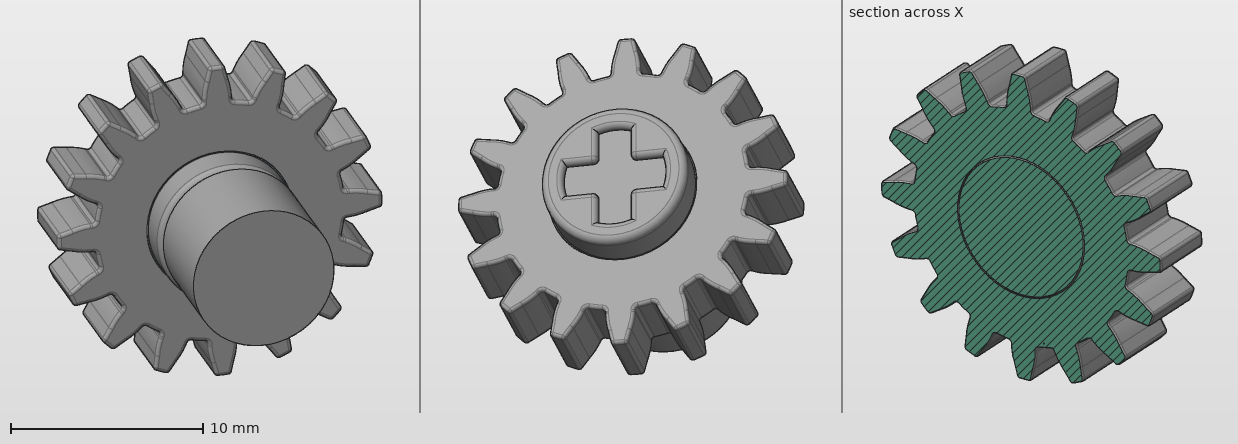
import cadquery as cq
import math

TOTAL_LENGTH = 13.64

TEETH = 16
TIP_RADIUS = 8.8
ROOT_RADIUS = 6.78
TIP_HALF_WIDTH = 0.42
FOOT_HALF_WIDTH = 0.8

TIP_CORNER = (TIP_RADIUS, TIP_HALF_WIDTH)
FLANK_TOP = (8.05, 0.62)
FLANK_MIDDLE = (7.55, 0.74)
FLANK_END = (7.05, FOOT_HALF_WIDTH)
ROOT_CORNER = (ROOT_RADIUS, FOOT_HALF_WIDTH)
TIP_MIDDLE = (TIP_RADIUS, 0)

GEAR_START = 2.0
GEAR_WIDTH = 4.0
GEAR_TURN = 1.2
GEAR_FILLET = 0.2

HUB_DIAMETER = 7.8
HUB_LENGTH = 8.0
HUB_END_FILLET = 0.4
HUB_GROOVE_DIAMETER = 7.95
HUB_GROOVE_DEPTH = 0.15
HUB_FLARE_LENGTH = 0.1

SHAFT_DIAMETER = 7.62
SHAFT_OFFSET_Y = 0.14
SHAFT_OFFSET_Z = -0.04

CROSS_DIAMETER = 5.45
CROSS_ARM_WIDTH = 1.75
CROSS_DEPTH = 0.4
CROSS_FILLET = 0.32


def cylinder_along_x(diameter, start, end, y=0.0, z=0.0):
    return cq.Workplane("YZ", origin=(start, y, z)).circle(diameter / 2).extrude(end - start)


def tooth_point(place, side, angle):
    """Point for a place on the +1 or -1 side of the tooth that stands at the given angle."""
    radius, half_width = place
    along = math.sqrt(radius**2 - half_width**2)
    across = side * half_width
    return (
        along * math.cos(angle) - across * math.sin(angle),
        along * math.sin(angle) + across * math.cos(angle),
    )


def gear_outline():
    """Closed outline of convex teeth joined by arcs of the root circle."""
    pitch = 2 * math.pi / TEETH
    first_angle = math.pi / 2 + math.radians(GEAR_TURN)
    outline = cq.Workplane("YZ", origin=(GEAR_START, 0, 0))
    outline = outline.moveTo(*tooth_point(ROOT_CORNER, -1, first_angle))
    for tooth in range(TEETH):
        angle = first_angle + tooth * pitch
        gap_angle = angle + pitch / 2
        gap_middle = (ROOT_RADIUS * math.cos(gap_angle), ROOT_RADIUS * math.sin(gap_angle))
        outline = (
            outline.lineTo(*tooth_point(FLANK_END, -1, angle))
            .threePointArc(tooth_point(FLANK_MIDDLE, -1, angle), tooth_point(FLANK_TOP, -1, angle))
            .lineTo(*tooth_point(TIP_CORNER, -1, angle))
            .threePointArc(tooth_point(TIP_MIDDLE, 1, angle), tooth_point(TIP_CORNER, 1, angle))
            .lineTo(*tooth_point(FLANK_TOP, 1, angle))
            .threePointArc(tooth_point(FLANK_MIDDLE, 1, angle), tooth_point(FLANK_END, 1, angle))
            .lineTo(*tooth_point(ROOT_CORNER, 1, angle))
            .threePointArc(gap_middle, tooth_point(ROOT_CORNER, -1, angle + pitch))
        )
    return outline.close()


def distance_from_axis(edge):
    center = edge.Center()
    return math.hypot(center.y, center.z)


def is_root_edge(edge):
    return distance_from_axis(edge) < (ROOT_RADIUS + FLANK_END[0]) / 2


def is_tip_edge(edge):
    return distance_from_axis(edge) > (TIP_RADIUS + FLANK_TOP[0]) / 2


def make_gear():
    """Toothed wheel; the tooth tips are rounded together with the rims of both faces."""
    gear = gear_outline().extrude(GEAR_WIDTH)
    gear = gear.edges("|X").filter(is_root_edge).fillet(GEAR_FILLET)
    tip_edges = gear.edges("|X").filter(is_tip_edge).vals()
    rim_edges = gear.faces("<X or >X").edges().vals()
    return gear.newObject(tip_edges + rim_edges).fillet(GEAR_FILLET)


def make_cross():
    arms = cq.Workplane("YZ").rect(CROSS_ARM_WIDTH, CROSS_DIAMETER).extrude(CROSS_DEPTH)
    arms = arms.union(cq.Workplane("YZ").rect(CROSS_DIAMETER, CROSS_ARM_WIDTH).extrude(CROSS_DEPTH))
    return arms.intersect(cylinder_along_x(CROSS_DIAMETER, 0, CROSS_DEPTH))


def is_cross_inner_corner(edge):
    return distance_from_axis(edge) < CROSS_ARM_WIDTH


def make_hub():
    """Hub with rounded ends; the pocket mouth and its four inner corners are rounded together."""
    hub = cylinder_along_x(HUB_DIAMETER, 0, HUB_LENGTH)
    hub = hub.faces("<X or >X").edges().fillet(HUB_END_FILLET)
    hub = hub.cut(make_cross())
    corner_edges = hub.edges("|X").filter(is_cross_inner_corner).vals()
    mouth_edges = hub.faces("<X").val().innerWires()[0].Edges()
    return hub.newObject(corner_edges + mouth_edges).fillet(CROSS_FILLET)


def make_hub_groove():
    """Narrow ring sunk into the gear face around the hub; the hub flares out to close its bottom."""
    hub_radius = HUB_DIAMETER / 2
    groove_radius = HUB_GROOVE_DIAMETER / 2
    groove_end = GEAR_START + HUB_GROOVE_DEPTH
    section = (
        cq.Workplane("XY")
        .moveTo(GEAR_START, hub_radius)
        .lineTo(GEAR_START, groove_radius)
        .lineTo(groove_end, groove_radius)
        .lineTo(groove_end - HUB_FLARE_LENGTH, hub_radius)
        .close()
    )
    return section.revolve(360, (0, 0, 0), (1, 0, 0))


def make_shaft():
    return cylinder_along_x(SHAFT_DIAMETER, HUB_LENGTH, TOTAL_LENGTH, SHAFT_OFFSET_Y, SHAFT_OFFSET_Z)


front_groove = make_hub_groove()
back_groove = front_groove.mirror("YZ", (GEAR_START + GEAR_WIDTH / 2, 0, 0))
result = make_gear().union(make_hub()).union(make_shaft()).cut(front_groove).cut(back_groove)